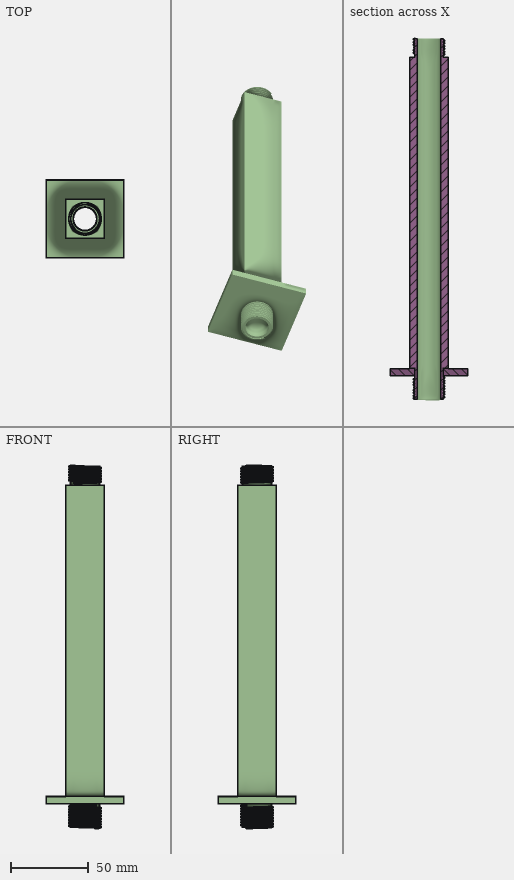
import cadquery as cq

total_height = 233.6
flange_side = 50.0
flange_thickness = 5.0
flange_bottom = 16.0
flange_top = flange_bottom + flange_thickness

bar_side = 25.0
bar_height = 200.0

root_radius = 9.3
crest_radius = 10.4
bore_diameter = 15.0

pitch = 1.75
thread_foot = 1.6
thread_crest = 0.35
thread_sink = 0.2
lower_turns = 8
upper_turns = 6
lower_start_angle = -45.0
upper_start_angle = 225.0

seam_angle = 180.0

stub_bottom = thread_foot / 2
stub_top = total_height - thread_foot / 2


def make_thread(start_z, turns, start_angle):
    """Right-handed helical ridge whose mid-line starts at start_z."""
    foot_radius = root_radius - thread_sink
    path = cq.Workplane(cq.Wire.makeHelix(pitch, turns * pitch, root_radius))
    profile = cq.Workplane("XZ").polyline([
        (foot_radius, -thread_foot / 2),
        (crest_radius, -thread_crest / 2),
        (crest_radius, thread_crest / 2),
        (foot_radius, thread_foot / 2),
    ]).close()
    ridge = profile.sweep(path, isFrenet=True)
    return ridge.rotate((0, 0, 0), (0, 0, 1), start_angle).translate((0, 0, start_z))


def make_arm():
    """Square bar with a threaded stub at each end and a bore right through."""
    bar = (
        cq.Workplane("XY", origin=(0, 0, flange_top))
        .rect(bar_side, bar_side)
        .extrude(bar_height)
    )
    stubs = (
        cq.Workplane("XY", origin=(0, 0, stub_bottom))
        .circle(root_radius)
        .extrude(stub_top - stub_bottom)
        .rotate((0, 0, 0), (0, 0, 1), seam_angle)
    )
    bore = cq.Workplane("XY").circle(bore_diameter / 2).extrude(total_height)
    arm = bar.union(stubs).cut(bore)

    lower_thread = make_thread(stub_bottom, lower_turns, lower_start_angle)
    upper_thread_start = stub_top - upper_turns * pitch
    upper_thread = make_thread(upper_thread_start, upper_turns, upper_start_angle)
    return arm.union(lower_thread).union(upper_thread)


def make_flange():
    """Square plate with a hole that fits the lower stub."""
    return (
        cq.Workplane("XY", origin=(0, 0, flange_bottom))
        .rect(flange_side, flange_side)
        .circle(root_radius)
        .extrude(flange_thickness)
    )


arm = make_arm()
flange = make_flange()

result = cq.Compound.makeCompound([arm.val(), flange.val()])